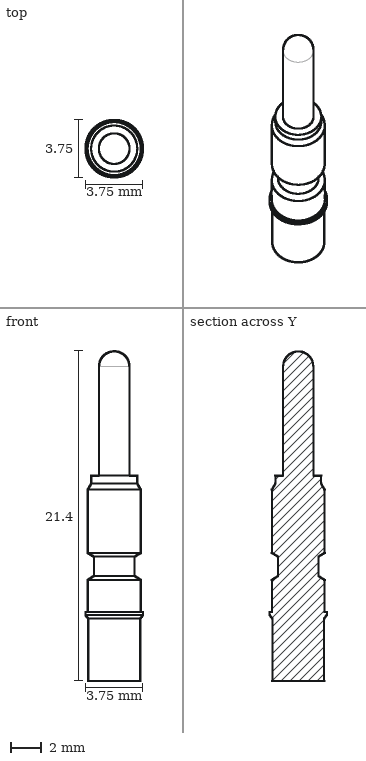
import cadquery as cq

crimp_diameter = 3.4
flange_diameter = 3.75
body_diameter = 3.45
neck_diameter = 2.65
collar_diameter = 3.0
pin_diameter = 2.0

flange_bottom = 4.08
flange_edge = 4.3
flange_top = 4.5
neck_bottom = 6.85
neck_top = 8.09
collar_bottom = 12.85
collar_top = 13.36
total_height = 21.45

lower_shoulder_length = 0.25
upper_shoulder_length = 0.24
collar_cone_length = 0.4

crimp_radius = crimp_diameter / 2
flange_radius = flange_diameter / 2
body_radius = body_diameter / 2
neck_radius = neck_diameter / 2
collar_radius = collar_diameter / 2
pin_radius = pin_diameter / 2

dome_bottom = total_height - pin_radius
dome_diagonal = pin_radius / 2**0.5

profile = (
    cq.Workplane("XZ")
    .moveTo(0, 0)
    .lineTo(crimp_radius, 0)
    .lineTo(crimp_radius, flange_bottom)
    .lineTo(flange_radius, flange_edge)
    .lineTo(flange_radius, flange_top)
    .lineTo(body_radius, flange_top)
    .lineTo(body_radius, neck_bottom - lower_shoulder_length)
    .lineTo(neck_radius, neck_bottom)
    .lineTo(neck_radius, neck_top)
    .lineTo(body_radius, neck_top + upper_shoulder_length)
    .lineTo(body_radius, collar_bottom - collar_cone_length)
    .lineTo(collar_radius, collar_bottom)
    .lineTo(collar_radius, collar_top)
    .lineTo(pin_radius, collar_top)
    .lineTo(pin_radius, dome_bottom)
    .threePointArc((dome_diagonal, dome_bottom + dome_diagonal), (0, total_height))
    .close()
)

result = profile.revolve(360, (0, 0, 0), (0, 1, 0))